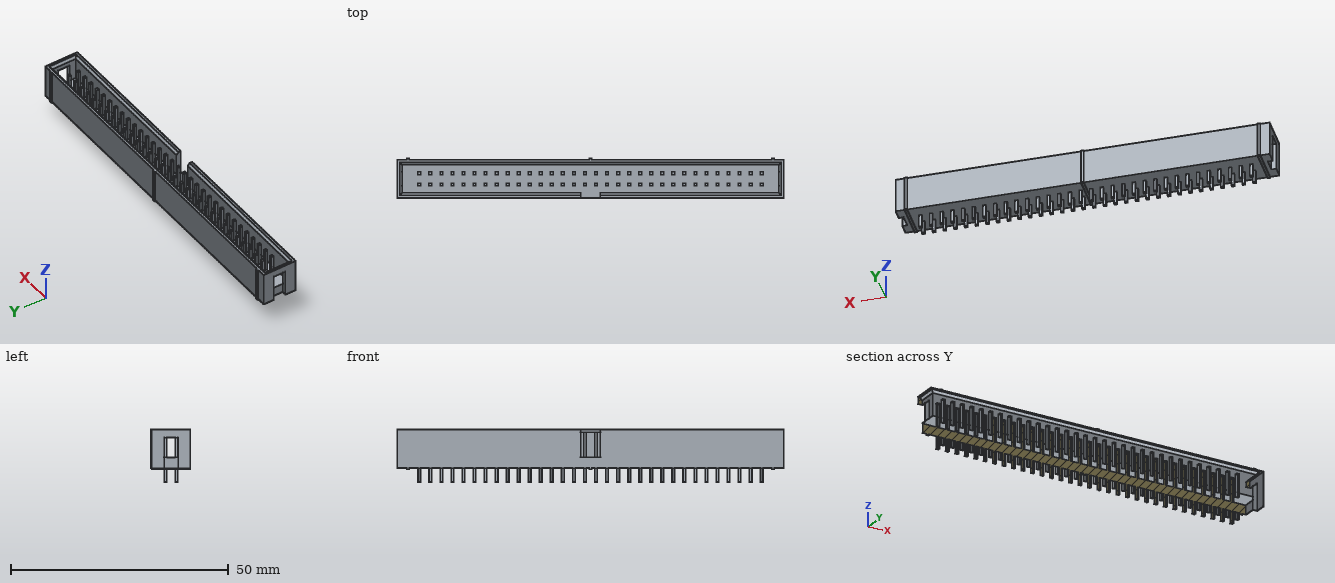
import cadquery as cq

body_length = 88.9
body_width = 8.9
body_height = 8.9
end_wall = 1.2
side_wall = 1.25
cavity_depth = 6.4
rim_chamfer_height = 0.6
rim_chamfer_width = 0.58
floor_z = body_height - cavity_depth

notch_width = 4.5

slot_width = 3.2
slot_top_drop = 1.9
slot_top_z = body_height - slot_top_drop

rib_width = 0.6
rib_height = 0.3
rib_end_offset = 2.5

pins_per_row = 32
row_count = 2
row_length = 78.7
pitch = row_length / (pins_per_row - 1)
pin_size = 0.64
pin_tail = 3.2
pin_tip_drop = 0.6
pin_tip_z = body_height - pin_tip_drop


def make_shroud():
    """Box with a cavity open at the top and a chamfered inner rim."""
    body = cq.Workplane("XY").box(
        body_length, body_width, body_height, centered=(True, True, False)
    )
    cavity_length = body_length - 2 * end_wall
    cavity_width = body_width - 2 * side_wall
    cavity = (
        cq.Workplane("XY", origin=(0, 0, floor_z))
        .rect(cavity_length, cavity_width)
        .extrude(cavity_depth)
    )
    rim = (
        cq.Workplane("XY", origin=(0, 0, body_height - rim_chamfer_height))
        .rect(cavity_length, cavity_width)
        .workplane(offset=rim_chamfer_height)
        .rect(cavity_length + 2 * rim_chamfer_width, cavity_width + 2 * rim_chamfer_width)
        .loft(ruled=True)
    )
    return body.cut(cavity).cut(rim)


def make_notch():
    """Cutter through the -Y wall, down to the cavity floor."""
    return cq.Workplane("XY", origin=(0, -(body_width - side_wall) / 2, floor_z)).box(
        notch_width, side_wall, cavity_depth, centered=(True, True, False)
    )


def make_end_slots():
    """Cutters as deep as the end walls, one at each end."""
    slot_x = (body_length - end_wall) / 2
    return (
        cq.Workplane("XY")
        .pushPoints([(-slot_x, 0), (slot_x, 0)])
        .rect(end_wall, slot_width)
        .extrude(slot_top_z)
    )


def make_ribs():
    """Ribs at the middle and near both ends, wrapping from the back face to the underside."""
    end_rib_x = body_length / 2 - rib_end_offset
    rib_places = [(x, 0) for x in (-end_rib_x, 0, end_rib_x)]
    back_ribs = (
        cq.Workplane("XY", origin=(0, body_width / 2, 0))
        .pushPoints(rib_places)
        .rect(rib_width, 2 * rib_height)
        .extrude(body_height)
    )
    bottom_ribs = (
        cq.Workplane("XZ", origin=(0, body_width / 2, 0))
        .pushPoints(rib_places)
        .rect(rib_width, 2 * rib_height)
        .extrude(body_width)
    )
    return back_ribs.union(bottom_ribs)


def make_pins():
    """Square pins that pass through the floor."""
    return (
        cq.Workplane("XY", origin=(0, 0, -pin_tail))
        .rarray(pitch, pitch, pins_per_row, row_count)
        .rect(pin_size, pin_size)
        .extrude(pin_tip_z + pin_tail)
    )


shroud = make_shroud().cut(make_notch()).cut(make_end_slots())
result = shroud.union(make_ribs()).union(make_pins())